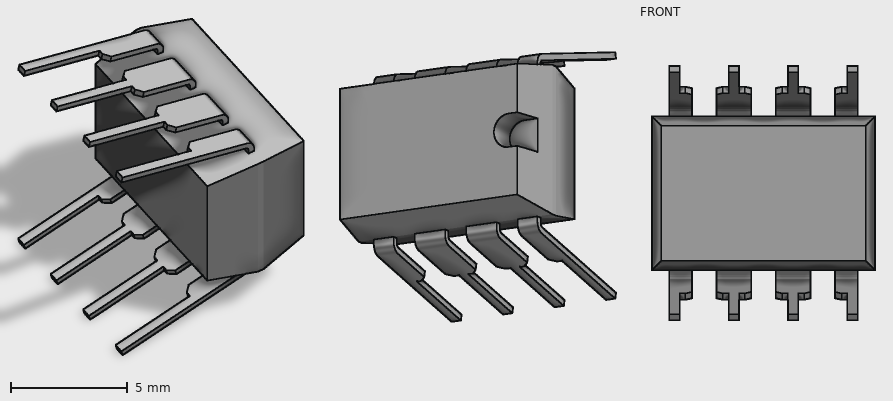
import cadquery as cq
import math


housing_length = 9.59
housing_width = 6.62
half_depth = 2.34
draft_angle = 10.0
notch_width = 1.49
notch_depth = 1.36
notch_centre_inset = 0.82

lead_thickness = 0.28
lead_pitch = 2.54
leads_per_row = 4
lead_span = 10.92
lead_reach = 6.66
splay_angle = 13.1
bend_outer_radius = 0.48
shoulder_width = 1.51
shoulder_chamfer = 0.28
tip_width = 0.46
tip_length = 3.91

splay = math.radians(splay_angle)
bend_inner_radius = bend_outer_radius - lead_thickness
band_top_y = lead_thickness / 2
lead_root_z = housing_width / 2
bend_centre_y = band_top_y - bend_outer_radius
tip_outer_y = -lead_reach + lead_thickness * math.sin(splay)
tip_outer_z = lead_span / 2
bend_end_y = bend_centre_y + bend_outer_radius * math.sin(splay)
bend_end_z = tip_outer_z - (bend_end_y - tip_outer_y) * math.tan(splay)
bend_centre_z = bend_end_z - bend_outer_radius * math.cos(splay)


def housing_half(direction):
    """Tapered half that grows from the band toward +Y (direction 1) or -Y (direction -1)."""
    normal = (0, direction, 0)
    base = cq.Plane(origin=(0, direction * band_top_y, 0), xDir=(1, 0, 0), normal=normal)
    return cq.Workplane(base).rect(housing_length, housing_width).extrude(half_depth, taper=draft_angle)


def notch_cutter():
    """Round-ended slot that is open toward the -X end and the +Y face."""
    housing_face_y = band_top_y + half_depth
    slot_end_x = -housing_length / 2
    arc_centre_x = slot_end_x + notch_centre_inset
    radius = notch_width / 2
    return (
        cq.Workplane("XZ", origin=(0, housing_face_y, 0))
        .moveTo(slot_end_x, -radius)
        .lineTo(arc_centre_x, -radius)
        .threePointArc((arc_centre_x + radius, 0), (arc_centre_x, radius))
        .lineTo(slot_end_x, radius)
        .close()
        .extrude(notch_depth)
    )


def make_housing():
    band = cq.Workplane("XY").box(housing_length, lead_thickness, housing_width)
    return band.union(housing_half(1)).union(housing_half(-1)).cut(notch_cutter())


def bend_point(radius, angle):
    """Point (y, z) on a bend arc; the angle runs from +Y toward +Z."""
    return (
        bend_centre_y + radius * math.cos(angle),
        bend_centre_z + radius * math.sin(angle),
    )


def bent_strip():
    """Side profile of an upper lead, as wide in X as a full shoulder and centred on X = 0."""
    bend_end_angle = math.pi / 2 - splay
    bend_middle_angle = bend_end_angle / 2
    tip_inner = (-lead_reach, tip_outer_z - lead_thickness * math.cos(splay))
    return (
        cq.Workplane("YZ")
        .moveTo(band_top_y, lead_root_z)
        .lineTo(band_top_y, bend_centre_z)
        .threePointArc(
            bend_point(bend_outer_radius, bend_middle_angle),
            bend_point(bend_outer_radius, bend_end_angle),
        )
        .lineTo(tip_outer_y, tip_outer_z)
        .lineTo(*tip_inner)
        .lineTo(*bend_point(bend_inner_radius, bend_end_angle))
        .threePointArc(
            bend_point(bend_inner_radius, bend_middle_angle),
            bend_point(bend_inner_radius, 0),
        )
        .lineTo(-band_top_y, lead_root_z)
        .close()
        .extrude(shoulder_width / 2, both=True)
    )


def shoulder_cutter(side):
    """Waste beside the narrow tip on one side in X, with the chamfered shoulder corner."""
    leg_plane = cq.Plane(
        origin=(0, tip_outer_y, tip_outer_z),
        xDir=(1, 0, 0),
        normal=(0, math.sin(splay), math.cos(splay)),
    )
    inner_x = side * tip_width / 2
    outer_x = side * shoulder_width / 2
    outline = [
        (inner_x, 0),
        (inner_x, tip_length),
        (outer_x - side * shoulder_chamfer, tip_length),
        (outer_x, tip_length + shoulder_chamfer),
        (outer_x, 0),
    ]
    return cq.Workplane(leg_plane).polyline(outline).close().extrude(-lead_thickness)


def flush_side_cutter(side):
    """Everything beyond the narrow tip's edge on one side in X, over the whole lead."""
    centre_x = side * (tip_width + shoulder_width) / 2
    return cq.Workplane("XY").box(shoulder_width, 2 * lead_span, 2 * lead_span).translate((centre_x, 0, 0))


def make_upper_lead(flush_sides):
    """Upper lead centred on X = 0; it has no shoulder on the flush sides."""
    lead = bent_strip()
    for side in (-1, 1):
        cutter = flush_side_cutter(side) if side in flush_sides else shoulder_cutter(side)
        lead = lead.cut(cutter)
    return lead


def make_leads():
    """Both rows; the lower row mirrors the upper one."""
    last = leads_per_row - 1
    leads = []
    for index in range(leads_per_row):
        flush_sides = {0: (-1,), last: (1,)}.get(index, ())
        lead_x = (index - last / 2) * lead_pitch
        upper_lead = make_upper_lead(flush_sides).translate((lead_x, 0, 0))
        leads.append(upper_lead)
        leads.append(upper_lead.mirror("XY"))
    return leads


housing = make_housing()
leads = make_leads()

result = cq.Compound.makeCompound([housing.val(), *[lead.val() for lead in leads]])